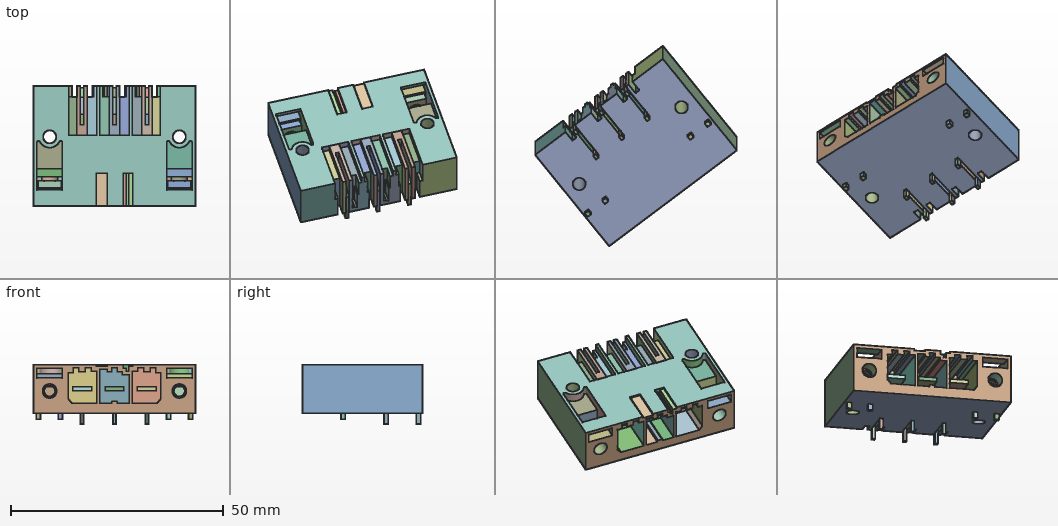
import cadquery as cq
import math


WIDTH = 38.1
DEPTH = 28.3
HEIGHT = 11.43
PITCH = 7.62
POLE_X = [-PITCH, 0.0, PITCH]

CAVITY_DEPTH = 15.25
CAVITY_FLOOR = 2.4
KEY_TOP = HEIGHT - 0.7
KEY_ROOT = HEIGHT - 1.68
SIDE_INNER = 4.15
SIDE_OUTER = 10.85
SIDE_INNER_TOP = HEIGHT - 1.52
SIDE_OUTER_TOP = HEIGHT - 1.83
SIDE_KEYS = [(5.45, 6.85), (8.42, 9.7)]
SIDE_CHAMFER_X = 0.85
SIDE_CHAMFER_Z = 1.0
MIDDLE_HALF = 3.5
MIDDLE_KEY_HALF = 0.65
MIDDLE_LEFT_STEP = (-1.75, HEIGHT - 1.1)
MIDDLE_RIGHT_STEP = (1.85, HEIGHT - 2.35)
BUMP_HALF = 0.7
BUMP_HEIGHT = 0.42
BUMP_CHAMFER = 0.15

CODING_LENGTH = 7.77
CODING_SLOTS = [(-4.35, -1.75, 0.4), (2.02, 2.75, 0.85), (2.75, 3.3, 1.55), (3.3, 4.35, 0.4)]

TROUGH_Y = 16.7
TROUGH_FLOOR = HEIGHT - 1.65
TROUGH_SPANS = [(-10.7, -4.2), (-3.45, 3.45), (4.2, 10.7)]
RIB_HALF = 1.22
RIB_DROP = 0.1
NOTCH_Y = 25.68
NOTCH_HALF = 2.75
WINDOW_HALF = 2.35
LEDGE_Z = 5.7
COVE_FLOOR = 1.15
COVE_RADIUS = 0.85
COVE_WIDTH = 0.6

FIXING_X = 15.25
BORE_Y = 16.3
BORE_DIAMETER = 3.0
SCREW_Z = 5.25
SCREW_DIAMETER = 3.3
POCKET_WIDTH = 6.0
POCKET_Y = 3.85
BOSS_RADIUS = 2.55
HORN_RADIUS = 0.4
UPPER_FLOOR = HEIGHT - 2.1
STEP_Y = 8.85
LOWER_FLOOR = HEIGHT - 5.15
SILL_Z = HEIGHT - 3.1
WINDOW_TOP = HEIGHT - 0.85
RELIEF_Y = 6.95
RELIEF_RADIUS = 1.85

NUT_SIZE = 5.37
NUT_BORE = 2.55
NUT_FRONT = 4.3
NUT_BACK = 5.95
NUT_GAP = 0.15

BLADE_WIDTH = 4.45
BLADE_TIP_Y = 4.57
BLADE_BOTTOM = 5.3
BLADE_TOP = 6.2
PLATE_THICKNESS = 0.75
PLATE_STEP_Y = 21.6
PLATE_SLOPE_Y = 25.6
PLATE_TOP = 7.25
LEG_LENGTH = 2.55
LEG_WIDTH = 1.05
FRONT_LEG_Y = 19.7
REAR_LEG_Y = 27.3
PLATE_FRONT = FRONT_LEG_Y - LEG_WIDTH / 2
PLATE_BACK = REAR_LEG_Y + LEG_WIDTH / 2

PEG_SIZE = 1.05
PEG_LENGTH = 1.4
PEG_Y = 9.6
PEG_X = [-17.85, -12.73, 12.73, 17.85]


def box(x0, x1, y0, y1, z0, z1):
    """Box between opposite corners, given in either order along X."""
    left = min(x0, x1)
    return cq.Workplane("XY").box(abs(x1 - x0), y1 - y0, z1 - z0, centered=False).translate((left, y0, z0))


def cylinder_along_y(x, z, radius, y0, y1):
    return cq.Workplane("XZ", origin=(x, y0, z)).circle(radius).extrude(y0 - y1)


def prism_along_y(points, y0, y1):
    """Closed outline of (x, z) points, extruded from y0 to y1."""
    return cq.Workplane("XZ", origin=(0, y0, 0)).polyline(points).close().extrude(y0 - y1)


def side_cavity(side):
    """Outer mating cavity; side is -1 for the left one and 1 for the right one."""
    (key1_in, key1_out), (key2_in, key2_out) = SIDE_KEYS
    outline = [
        (SIDE_INNER, CAVITY_FLOOR),
        (SIDE_INNER, SIDE_INNER_TOP),
        (key1_in, SIDE_INNER_TOP),
        (key1_in, KEY_TOP),
        (key1_out, KEY_TOP),
        (key1_out, KEY_ROOT),
        (key2_in, KEY_ROOT),
        (key2_in, KEY_TOP),
        (key2_out, KEY_TOP),
        (key2_out, SIDE_OUTER_TOP),
        (SIDE_OUTER, SIDE_OUTER_TOP),
        (SIDE_OUTER, CAVITY_FLOOR + SIDE_CHAMFER_Z),
        (SIDE_OUTER - SIDE_CHAMFER_X, CAVITY_FLOOR),
    ]
    return prism_along_y([(side * x, z) for x, z in outline], 0, CAVITY_DEPTH)


def middle_cavity():
    left_x, left_top = MIDDLE_LEFT_STEP
    right_x, right_top = MIDDLE_RIGHT_STEP
    bump_top = CAVITY_FLOOR + BUMP_HEIGHT
    outline = [
        (-MIDDLE_HALF, CAVITY_FLOOR),
        (-MIDDLE_HALF, left_top),
        (left_x, left_top),
        (left_x, KEY_ROOT),
        (-MIDDLE_KEY_HALF, KEY_ROOT),
        (-MIDDLE_KEY_HALF, KEY_TOP),
        (MIDDLE_KEY_HALF, KEY_TOP),
        (MIDDLE_KEY_HALF, KEY_ROOT),
        (right_x, KEY_ROOT),
        (right_x, right_top),
        (MIDDLE_HALF, right_top),
        (MIDDLE_HALF, CAVITY_FLOOR),
        (BUMP_HALF, CAVITY_FLOOR),
        (BUMP_HALF, bump_top - BUMP_CHAMFER),
        (BUMP_HALF - BUMP_CHAMFER, bump_top),
        (BUMP_CHAMFER - BUMP_HALF, bump_top),
        (-BUMP_HALF, bump_top - BUMP_CHAMFER),
        (-BUMP_HALF, CAVITY_FLOOR),
    ]
    return prism_along_y(outline, 0, CAVITY_DEPTH)


def cut_coding_slots(body):
    for x0, x1, depth in CODING_SLOTS:
        body = body.cut(box(x0, x1, 0, CODING_LENGTH, HEIGHT - depth, HEIGHT))
    return body


def open_notch(pole, side, outer):
    """Notch through the trough floor with a deep window beside the rib and a ledge beyond it."""
    rib = pole + side * RIB_HALF
    ledge = box(rib, outer, NOTCH_Y, DEPTH, LEDGE_Z, HEIGHT)
    window = box(rib, pole + side * WINDOW_HALF, NOTCH_Y, DEPTH, 0, HEIGHT)
    return ledge.union(window)


def coved_notch(pole):
    """Left-hand notch closed at the bottom by a floor that coves up to a shelf beside the rib."""
    rib = pole - RIB_HALF
    window = pole - WINDOW_HALF
    sweep = math.asin(COVE_WIDTH / COVE_RADIUS)
    cove_middle = (
        window + COVE_RADIUS * math.sin(sweep / 2),
        COVE_FLOOR + COVE_RADIUS * (1 - math.cos(sweep / 2)),
    )
    shelf_z = COVE_FLOOR + COVE_RADIUS * (1 - math.cos(sweep))
    deep = (
        cq.Workplane("XZ", origin=(0, NOTCH_Y, 0))
        .moveTo(window, HEIGHT)
        .lineTo(window, COVE_FLOOR)
        .threePointArc(cove_middle, (window + COVE_WIDTH, shelf_z))
        .lineTo(rib, shelf_z)
        .lineTo(rib, HEIGHT)
        .close()
        .extrude(NOTCH_Y - DEPTH)
    )
    ledge = box(rib, pole - NOTCH_HALF, NOTCH_Y, DEPTH, LEDGE_Z, HEIGHT)
    return ledge.union(deep)


def cut_troughs(body):
    for pole, (left, right) in zip(POLE_X, TROUGH_SPANS):
        trough = box(left, right, TROUGH_Y, DEPTH, TROUGH_FLOOR, HEIGHT)
        ribs = box(pole - RIB_HALF, pole + RIB_HALF, TROUGH_Y, DEPTH, TROUGH_FLOOR, HEIGHT - RIB_DROP)
        contact_slot = box(
            pole - PLATE_THICKNESS / 2, pole + PLATE_THICKNESS / 2, PLATE_FRONT, DEPTH, 0, HEIGHT
        )
        body = body.cut(trough.cut(ribs)).cut(contact_slot)

        is_first = pole == POLE_X[0]
        is_last = pole == POLE_X[-1]
        left_notch = open_notch(pole, -1, left) if is_first else coved_notch(pole)
        right_notch = open_notch(pole, 1, right if is_last else pole + NOTCH_HALF)
        body = body.cut(left_notch).cut(right_notch)

        blade_passage = box(
            pole - BLADE_WIDTH / 2, pole + BLADE_WIDTH / 2,
            CAVITY_DEPTH, PLATE_FRONT, BLADE_BOTTOM, BLADE_TOP,
        )
        body = body.cut(blade_passage)
    return body


def upper_pocket(x):
    """Shallow pocket whose rear edge runs around the boss and ends in a round tip on each side."""
    half = POCKET_WIDTH / 2
    tip_x = half - HORN_RADIUS
    centre_distance = BOSS_RADIUS + HORN_RADIUS
    tip_y = BORE_Y - math.sqrt(centre_distance**2 - tip_x**2)
    joint_x = tip_x * BOSS_RADIUS / centre_distance
    joint_y = BORE_Y + (tip_y - BORE_Y) * BOSS_RADIUS / centre_distance
    return (
        cq.Workplane("XY", origin=(x, 0, UPPER_FLOOR))
        .moveTo(half, POCKET_Y)
        .lineTo(half, tip_y)
        .threePointArc((tip_x, tip_y + HORN_RADIUS), (joint_x, joint_y))
        .threePointArc((0, BORE_Y - BOSS_RADIUS), (-joint_x, joint_y))
        .threePointArc((-tip_x, tip_y + HORN_RADIUS), (-half, tip_y))
        .lineTo(-half, POCKET_Y)
        .close()
        .extrude(HEIGHT - UPPER_FLOOR)
    )


def fixing_cut(x):
    """Everything removed at one end fixing: pocket, nut slot, screw holes and front window."""
    left = x - POCKET_WIDTH / 2
    right = x + POCKET_WIDTH / 2
    upper = upper_pocket(x)
    lower = box(left, right, NUT_BACK, STEP_Y, LOWER_FLOOR, HEIGHT)
    sill = box(left, right, POCKET_Y, NUT_BACK, SILL_Z, HEIGHT)
    window = box(left, right, 0, POCKET_Y, SILL_Z, WINDOW_TOP)

    nut_slot = box(left, right, NUT_FRONT - NUT_GAP, NUT_BACK, SCREW_Z - NUT_SIZE / 2, HEIGHT)
    relief_ledge = box(left, right, NUT_BACK, RELIEF_Y, SCREW_Z, HEIGHT)
    relief = cylinder_along_y(x, SCREW_Z, RELIEF_RADIUS, NUT_BACK, RELIEF_Y)
    screw_hole = cylinder_along_y(x, SCREW_Z, SCREW_DIAMETER / 2, 0, NUT_FRONT)
    bore = cq.Workplane("XY").center(x, BORE_Y).circle(BORE_DIAMETER / 2).extrude(HEIGHT)

    pocket = upper.union(lower).union(sill).union(nut_slot).union(relief_ledge).union(relief)
    return pocket.union(window).union(screw_hole).union(bore)


def make_housing():
    body = box(-WIDTH / 2, WIDTH / 2, 0, DEPTH, 0, HEIGHT)
    body = body.cut(side_cavity(-1)).cut(middle_cavity()).cut(side_cavity(1))
    body = cut_coding_slots(body)
    body = cut_troughs(body)
    for x in (-FIXING_X, FIXING_X):
        body = body.cut(fixing_cut(x))
    return body


def make_contact(x):
    """Flat blade in the cavity, joined to an upright plate with two solder legs."""
    blade = box(
        x - BLADE_WIDTH / 2, x + BLADE_WIDTH / 2, BLADE_TIP_Y, PLATE_FRONT, BLADE_BOTTOM, BLADE_TOP
    )
    slope_end = PLATE_TOP - (PLATE_BACK - PLATE_SLOPE_Y)
    bridge_bottom = slope_end - LEG_WIDTH
    profile = [
        (PLATE_FRONT, -LEG_LENGTH),
        (PLATE_FRONT, BLADE_TOP),
        (PLATE_STEP_Y, BLADE_TOP),
        (PLATE_STEP_Y, PLATE_TOP),
        (PLATE_SLOPE_Y, PLATE_TOP),
        (PLATE_BACK, slope_end),
        (PLATE_BACK, -LEG_LENGTH),
        (PLATE_BACK - LEG_WIDTH, -LEG_LENGTH),
        (PLATE_BACK - LEG_WIDTH, bridge_bottom),
        (PLATE_FRONT + LEG_WIDTH, bridge_bottom),
        (PLATE_FRONT + LEG_WIDTH, -LEG_LENGTH),
    ]
    plate = (
        cq.Workplane("YZ", origin=(x - PLATE_THICKNESS / 2, 0, 0))
        .polyline(profile)
        .close()
        .extrude(PLATE_THICKNESS)
    )
    return blade.union(plate)


def make_nut(x):
    half = NUT_SIZE / 2
    nut = box(x - half, x + half, NUT_FRONT, NUT_BACK, SCREW_Z - half, SCREW_Z + half)
    return nut.cut(cylinder_along_y(x, SCREW_Z, NUT_BORE / 2, NUT_FRONT, NUT_BACK))


def make_peg(x):
    half = PEG_SIZE / 2
    return box(x - half, x + half, PEG_Y - half, PEG_Y + half, -PEG_LENGTH, 0)


housing = make_housing()
contacts = [make_contact(x) for x in POLE_X]
nuts = [make_nut(x) for x in (-FIXING_X, FIXING_X)]
pegs = [make_peg(x) for x in PEG_X]

result = cq.Compound.makeCompound([body.val() for body in [housing, *contacts, *nuts, *pegs]])